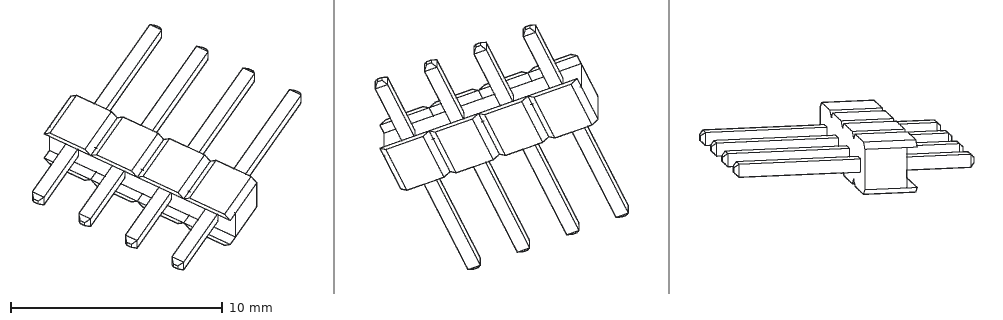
import cadquery as cq

pin_count = 4
row_length = 10.16
pitch = row_length / pin_count
housing_height = 2.54
housing_depth = 2.54

notch_half_width = 0.31
notch_depth = 0.29
core_height = housing_height - 2 * notch_depth

recess_depth = 0.5

pin_length = 11.64
pin_width = 0.64
tip_length = 0.21
tip_end_width = 0.25
front_pin_reach = 3.0

housing_front = front_pin_reach - pin_length / 2
housing_back = housing_front + housing_depth


def make_cell(center_x):
    """One housing cell: a block with four bevelled long edges, extruded from back to front."""
    half_width = pitch / 2
    flat_half_width = half_width - notch_half_width
    half_height = housing_height / 2
    core_half_height = core_height / 2
    profile = [
        (-half_width, -core_half_height),
        (-flat_half_width, -half_height),
        (flat_half_width, -half_height),
        (half_width, -core_half_height),
        (half_width, core_half_height),
        (flat_half_width, half_height),
        (-flat_half_width, half_height),
        (-half_width, core_half_height),
    ]
    return (
        cq.Workplane("XZ", origin=(center_x, housing_back, 0))
        .polyline(profile)
        .close()
        .extrude(housing_depth)
    )


def make_recess():
    """Slot along the whole row that sets the front face back between the lips."""
    return cq.Workplane("XY").box(row_length, recess_depth, core_height).translate(
        (0, housing_front + recess_depth / 2, 0)
    )


def make_tip():
    """Tapered tip at the front (-Y) end of a pin centred on the Y axis."""
    return (
        cq.Workplane("XZ", origin=(0, tip_length - pin_length / 2, 0))
        .rect(pin_width, pin_width)
        .workplane(offset=tip_length)
        .rect(tip_end_width, tip_end_width)
        .loft(ruled=True)
    )


def make_pin(center_x):
    """Straight square shank with the same tip at both ends."""
    shank = cq.Workplane("XY").box(pin_width, pin_length - 2 * tip_length, pin_width)
    front_tip = make_tip()
    back_tip = front_tip.mirror("XZ")
    return shank.union(front_tip).union(back_tip).translate((center_x, 0, 0))


pin_positions = [(i - (pin_count - 1) / 2) * pitch for i in range(pin_count)]

housing = make_cell(pin_positions[0])
for x in pin_positions[1:]:
    housing = housing.union(make_cell(x))
result = housing.cut(make_recess())

for x in pin_positions:
    result = result.union(make_pin(x))
result = result.clean()